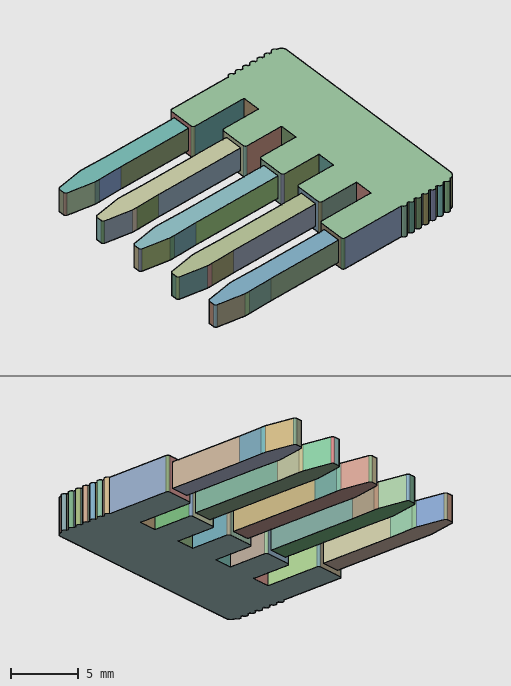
import cadquery as cq

THICKNESS = 3.0
TOTAL_LENGTH = 22.7
MAX_WIDTH = 19.8
BACK_Y = TOTAL_LENGTH / 2
TIP_Y = -TOTAL_LENGTH / 2

PIN_COUNT = 5
PIN_PITCH = 4.2
FINGER_WIDTH = 2.59
BODY_WIDTH = (PIN_COUNT - 1) * PIN_PITCH + FINGER_WIDTH
BRIDGE_DEPTH = 6.0
OUTER_FINGER_REACH = 10.99
INNER_FINGER_REACH = 9.55
BACK_CORNER_RADIUS = 0.5
FINGER_CORNER_RADIUS = 0.2

RIB_COUNT = 7
RIB_PITCH = 0.7
RIB_CHORD = 0.52
RIB_HEIGHT = (MAX_WIDTH - BODY_WIDTH) / 2
FIRST_RIB_SETBACK = 0.77

PIN_THICKNESS = 2.18
SHANK_WIDTH = 1.6
HEAD_WIDTH = 1.68
TIP_WIDTH = 0.8
FLARE_START_SETBACK = 17.57
FLARE_END_SETBACK = 19.73
TIP_TAPER_SETBACK = 20.15
TIP_CORNER_RADIUS = 0.2


def finger_reach(index):
    """Distance from the back of the body to the end of a finger."""
    is_outer = index in (0, PIN_COUNT - 1)
    return OUTER_FINGER_REACH if is_outer else INNER_FINGER_REACH


def pin_x(index):
    """X position of a pin and its finger."""
    return (index - (PIN_COUNT - 1) / 2) * PIN_PITCH


def slab(width, front_y, back_y):
    """Full-thickness block centred on X = 0 and Z = 0."""
    depth = back_y - front_y
    return cq.Workplane("XY").box(width, depth, THICKNESS).translate((0, (front_y + back_y) / 2, 0))


def make_bridge():
    bridge = slab(BODY_WIDTH, BACK_Y - BRIDGE_DEPTH, BACK_Y)
    return bridge.edges("|Z and >Y").fillet(BACK_CORNER_RADIUS)


def make_finger(index):
    finger = slab(FINGER_WIDTH, BACK_Y - finger_reach(index), BACK_Y - BRIDGE_DEPTH)
    finger = finger.edges("|Z and <Y").fillet(FINGER_CORNER_RADIUS)
    return finger.translate((pin_x(index), 0, 0))


def make_rib(side, index):
    """Rib with an arc section, rooted inside the body; side is -1 or +1."""
    y = BACK_Y - FIRST_RIB_SETBACK - index * RIB_PITCH
    face_x = side * BODY_WIDTH / 2
    root_x = face_x - side * RIB_HEIGHT
    half = RIB_CHORD / 2
    return (
        cq.Workplane("XY")
        .workplane(offset=-THICKNESS / 2)
        .moveTo(root_x, y - half)
        .lineTo(face_x, y - half)
        .threePointArc((face_x + side * RIB_HEIGHT, y), (face_x, y + half))
        .lineTo(root_x, y + half)
        .close()
        .extrude(THICKNESS)
    )


def make_pin(index):
    """Flat pin: straight shank, slight flare, then a tapered tip."""
    root_y = BACK_Y - finger_reach(index)
    right_side = [
        (SHANK_WIDTH / 2, root_y),
        (SHANK_WIDTH / 2, BACK_Y - FLARE_START_SETBACK),
        (HEAD_WIDTH / 2, BACK_Y - FLARE_END_SETBACK),
        (HEAD_WIDTH / 2, BACK_Y - TIP_TAPER_SETBACK),
        (TIP_WIDTH / 2, TIP_Y),
    ]
    left_side = [(-x, y) for x, y in reversed(right_side)]
    pin = (
        cq.Workplane("XY")
        .workplane(offset=-PIN_THICKNESS / 2)
        .polyline(right_side + left_side)
        .close()
        .extrude(PIN_THICKNESS)
    )
    pin = pin.edges("|Z and <Y").fillet(TIP_CORNER_RADIUS)
    return pin.translate((pin_x(index), 0, 0))


result = make_bridge()
for position in range(PIN_COUNT):
    result = result.union(make_finger(position)).union(make_pin(position))
for side in (-1, 1):
    for position in range(RIB_COUNT):
        result = result.union(make_rib(side, position))